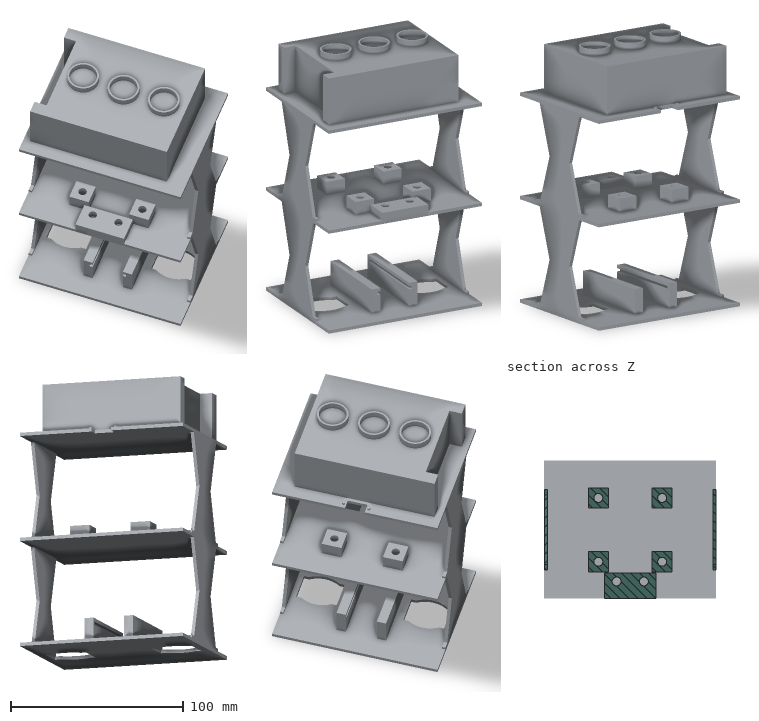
import cadquery as cq

total_height = 159
tab_height = 1.0
plate_width = 100.0
plate_depth = 80.0
plate_thick = 2 * tab_height

box_left_x = -46.0
box_width = 84.6
box_depth = 64.2
box_height = 27.5
box_recess_depth = 7.5
box_recess_width = 49.3
lid_thick = 1.5
ring_outer = 18.5
ring_inner = 16.2
ring_height = 4.0
ring_pitch = 25.0

wall_height = (total_height - 3 * plate_thick - box_height - lid_thick - ring_height) / 2
storey = plate_thick + wall_height
wall_thick = plate_thick
wall_base = 40.0
wall_waist = wall_base / 2
tab_width = 10.0

stop_length = 3.5
stop_height = 1.5

rail_outer_x = 15.0
rail_width = 5.5
rail_length = 53.0
rail_height = 14.8
rail_groove = plate_thick
rail_lip = plate_thick
rail_end = plate_thick
opening_x = 32.5
opening_width = 24.5
opening_side_depth = 16.4
opening_crown_depth = 22.0
opening_crown_width = 18.5

post_outer = 24.5
post_size = 12.0
post_height = 8.1
screw_hole = 5.0
block_width = 30.0
block_depth = 15.0
block_height = 5.0
block_hole_x = 8.0
block_hole_inset = 10.0

notch_width = 12.0
notch_depth = 6.0
peg_diameter = 1.7
peg_height = 1.3
peg_x = 7.6
peg_inset = 3.0

SIDES = (-1, 1)


def block(width, depth, height, x, y, z):
    """A box centred on (x, y) that rises from height z."""
    return cq.Workplane("XY").box(width, depth, height, centered=(True, True, False)).translate((x, y, z))


def cylinder(diameter, height, x, y, z):
    """An upright cylinder centred on (x, y) that rises from height z."""
    return cq.Workplane("XY").circle(diameter / 2).extrude(height).translate((x, y, z))


def plain_plate(base_z):
    return block(plate_width, plate_depth, plate_thick, 0, 0, base_z)


def wall_x(side):
    return side * (plate_width - wall_thick) / 2


def add_stops(plate, plate_top):
    """Stops at both ends of both wall feet, shaped to the slope of the walls."""
    length = wall_base + 2 * stop_length
    for side in SIDES:
        bar = block(wall_thick, length, stop_height, wall_x(side), 0, plate_top)
        plate = plate.union(bar.cut(make_wall(side, plate_top)))
    return plate


def cut_tab_notches(plate, base_z):
    """Notches in the underside that take the tabs of the walls below."""
    for side in SIDES:
        plate = plate.cut(block(wall_thick, tab_width, tab_height, wall_x(side), 0, base_z))
    return plate


def make_wall(side, base_z):
    """A wall narrowed to a waist at mid-height, with a tab on top."""
    outline = [
        (-wall_base / 2, 0),
        (wall_base / 2, 0),
        (wall_waist / 2, wall_height / 2),
        (wall_base / 2, wall_height),
        (tab_width / 2, wall_height),
        (tab_width / 2, wall_height + tab_height),
        (-tab_width / 2, wall_height + tab_height),
        (-tab_width / 2, wall_height),
        (-wall_base / 2, wall_height),
        (-wall_waist / 2, wall_height / 2),
    ]
    wall = cq.Workplane("YZ").polyline(outline).close().extrude(wall_thick / 2, both=True)
    return wall.translate((wall_x(side), 0, base_z))


def make_rail(side, base_z):
    """A rail with a groove along its inner face, under a top lip, closed at the back end."""
    rail_x = side * (rail_outer_x - rail_width / 2)
    groove_x = side * (rail_outer_x - rail_width + rail_groove / 2)
    groove_z = base_z + rail_height - rail_lip - rail_groove
    rail = block(rail_width, rail_length, rail_height, rail_x, 0, base_z)
    groove_length = rail_length - rail_end
    return rail.cut(block(rail_groove, groove_length, rail_groove, groove_x, -rail_end / 2, groove_z))


def opening_cutter(x):
    """A rectangle whose front and back edges bulge outwards in an arc, leaving a short flat at each end."""
    half_width = opening_width / 2
    half_side = opening_side_depth / 2
    half_crown = opening_crown_width / 2
    crest = opening_crown_depth / 2
    outline = (
        cq.Workplane("XY")
        .moveTo(-half_width, -half_side)
        .lineTo(-half_crown, -half_side)
        .threePointArc((0, -crest), (half_crown, -half_side))
        .lineTo(half_width, -half_side)
        .lineTo(half_width, half_side)
        .lineTo(half_crown, half_side)
        .threePointArc((0, crest), (-half_crown, half_side))
        .lineTo(-half_width, half_side)
        .close()
    )
    return outline.extrude(plate_thick).translate((x, 0, 0))


def make_bottom_plate():
    plate = plain_plate(0)
    for side in SIDES:
        plate = plate.cut(opening_cutter(side * opening_x))
        plate = plate.union(make_rail(side, plate_thick))
    return add_stops(plate, plate_thick)


def make_middle_plate(base_z):
    plate_top = base_z + plate_thick
    plate = cut_tab_notches(plain_plate(base_z), base_z)

    post_centre = post_outer - post_size / 2
    for x_side in SIDES:
        for y_side in SIDES:
            x = x_side * post_centre
            y = y_side * post_centre
            post = block(post_size, post_size, post_height, x, y, plate_top)
            plate = plate.union(post.cut(cylinder(screw_hole, post_height, x, y, plate_top)))

    block_y = (block_depth - plate_depth) / 2
    front_block = block(block_width, block_depth, block_height, 0, block_y, plate_top)
    hole_y = block_hole_inset - plate_depth / 2
    for side in SIDES:
        hole = cylinder(screw_hole, block_height, side * block_hole_x, hole_y, plate_top)
        front_block = front_block.cut(hole)
    return add_stops(plate.union(front_block), plate_top)


def box_outline(height, base_z):
    """The outline shared by box and lid, with a recess in the middle of the left side."""
    body = block(box_width, box_depth, height, box_left_x + box_width / 2, 0, base_z)
    recess_x = box_left_x + box_recess_depth / 2
    return body.cut(block(box_recess_depth, box_recess_width, height, recess_x, 0, base_z))


def make_top_housing(base_z):
    """The top plate and the box that stands on it."""
    plate_top = base_z + plate_thick
    back_y = plate_depth / 2
    housing = cut_tab_notches(plain_plate(base_z), base_z)
    housing = housing.cut(block(notch_width, notch_depth, plate_thick, 0, back_y - notch_depth / 2, base_z))
    for side in SIDES:
        housing = housing.union(cylinder(peg_diameter, peg_height, side * peg_x, back_y - peg_inset, plate_top))
    return housing.union(box_outline(box_height, plate_top))


def make_lid(base_z):
    """A flat lid with a row of three raised rings."""
    lid = box_outline(lid_thick, base_z)
    lid_top = base_z + lid_thick
    for place in (-1, 0, 1):
        x = place * ring_pitch
        ring = cylinder(ring_outer, ring_height, x, 0, lid_top)
        lid = lid.union(ring.cut(cylinder(ring_inner, ring_height, x, 0, lid_top)))
    return lid


bottom_plate = make_bottom_plate()
middle_plate = make_middle_plate(storey)
top_housing = make_top_housing(2 * storey)
lid = make_lid(2 * storey + plate_thick + box_height)
walls = [make_wall(side, level * storey + plate_thick) for level in (0, 1) for side in SIDES]

result = cq.Compound.makeCompound(
    [bottom_plate.val(), middle_plate.val(), top_housing.val(), lid.val(), *[wall.val() for wall in walls]]
)